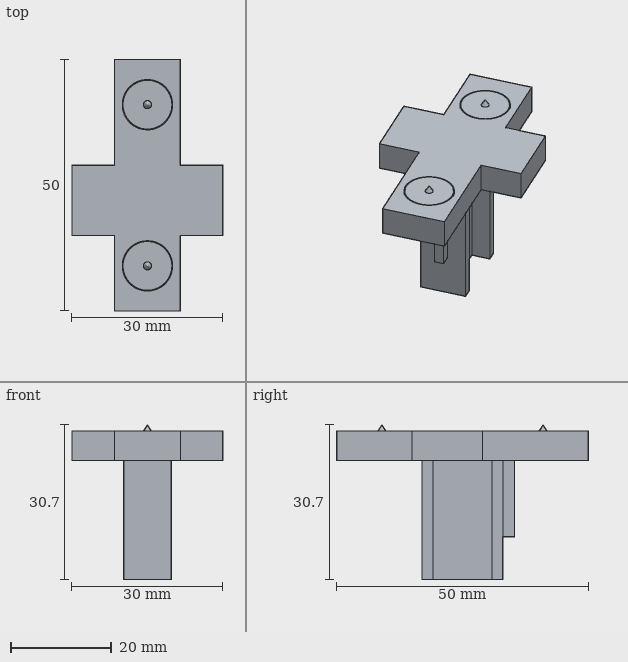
import cadquery as cq

plate_length = 50.0
plate_span = 30.0
plate_thickness = 5.9
long_arm_width = 13.1
cross_arm_width = 14.0
cross_arm_center_y = -3.0

stem_width = 9.5
stem_depth = 16.1
stem_height = 23.6
flange_thickness = 2.2
web_thickness = 1.9

rib_projection = 2.3
rib_height = 15.1

pin_offset = 16.0
pin_diameter = 1.6
pin_height = 1.2
ring_diameter = 10.0
ring_groove_width = 0.15
ring_groove_depth = 0.5

plate_bottom = -plate_thickness
pin_positions = [(0, -pin_offset), (0, pin_offset)]


def hanging_block(width, depth, height, top, center_y=0):
    """Box centred on X = 0 whose top face is at the given height."""
    block = cq.Workplane("XY").box(width, depth, height, centered=(True, True, False))
    return block.translate((0, center_y, top - height))


def make_plate():
    long_arm = hanging_block(long_arm_width, plate_length, plate_thickness, 0)
    cross_arm = hanging_block(plate_span, cross_arm_width, plate_thickness, 0, cross_arm_center_y)
    return long_arm.union(cross_arm)


def make_stem():
    stem = hanging_block(web_thickness, stem_depth, stem_height, plate_bottom)
    flange_y = (stem_depth - flange_thickness) / 2
    for side in (-1, 1):
        flange = hanging_block(stem_width, flange_thickness, stem_height, plate_bottom, side * flange_y)
        stem = stem.union(flange)
    return stem


def make_rib():
    rib_y = (stem_depth + rib_projection) / 2
    return hanging_block(web_thickness, rib_projection, rib_height, plate_bottom, rib_y)


def make_ring_grooves():
    return (
        cq.Workplane("XY")
        .pushPoints(pin_positions)
        .circle(ring_diameter / 2)
        .circle(ring_diameter / 2 - ring_groove_width)
        .extrude(-ring_groove_depth)
    )


def make_pin(x, y):
    cone = cq.Solid.makeCone(pin_diameter / 2, 0, pin_height)
    return cq.Workplane("XY").add(cone.translate(cq.Vector(x, y, 0)))


result = make_plate().union(make_stem()).union(make_rib()).cut(make_ring_grooves())
for pin_x, pin_y in pin_positions:
    result = result.union(make_pin(pin_x, pin_y))